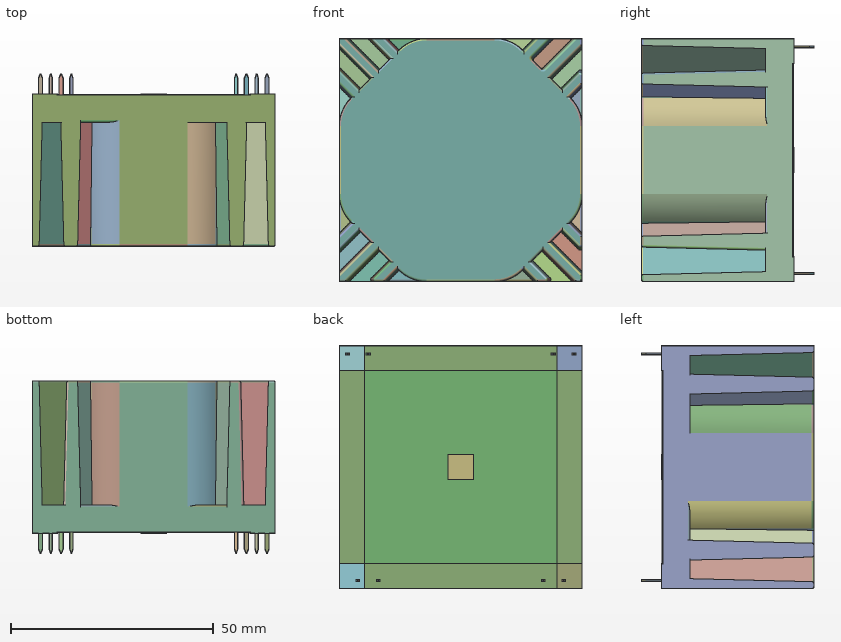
import cadquery as cq
import math

SIDE = 60.0
HALF = SIDE / 2
BACK_FACE = 37.3
FOOT_HEIGHT = 0.35
FOOT_SIDE = 6.2
BASE_START = 30.6
CORNER_ROUND = 9.7
EDGE_ROUND = 0.5
OCTAGON_SLOPE = math.tan(math.pi / 8)

RIB_FRONT_WIDTH = 2.4
RIB_DRAFT = 1.0
RIB_PITCH = 6.7
RIB_BACK_WIDTH = RIB_FRONT_WIDTH + 2 * BASE_START * math.tan(math.radians(RIB_DRAFT))
RIB_DIAGONALS = (45, 135, 225, 315)
RIB_PLACES = (-1, 0, 1)

POCKET_INNER_END = (HALF - CORNER_ROUND) * OCTAGON_SLOPE
POCKET_OUTER_END = HALF - (RIB_PITCH + RIB_BACK_WIDTH / 2) * math.sqrt(2)
ROUNDED_POCKET_ENDS = [(0, -1), (90, -1), (90, 1), (180, -1), (180, 1), (270, -1)]

PIN_TIP = 42.6
PIN_ROW = 27.95
PIN_OUTER = 27.95
PIN_INNER = 20.35
PINS_PER_SIDE = 4
PIN_THICKNESS = 0.5
WIDE_PIN = 1.1
NARROW_PIN = 0.85
PIN_TAPER = 1.1
PIN_TIP_WIDTH = 0.2

COVER_THICKNESS = 0.2

TOLERANCE = 0.005


def xz_plane(y):
    return cq.Workplane("XZ", origin=(0, y, 0))


def make_core():
    """Octagonal block with rounded corners, all eight sides equally far from the centre."""
    half_step = 180 / 8
    circumscribed = SIDE / math.cos(math.radians(half_step))
    core = xz_plane(0).transformed(rotate=(0, 0, half_step)).polygon(8, circumscribed).extrude(-BACK_FACE)
    return core.edges("|Y").fillet(CORNER_ROUND)


def make_rib(angle, offset):
    """Drafted rib running outwards along a diagonal."""
    front = RIB_FRONT_WIDTH / 2
    back = RIB_BACK_WIDTH / 2
    section = [
        (offset - front, 0),
        (offset + front, 0),
        (offset + back, BASE_START),
        (offset - back, BASE_START),
    ]
    rib = cq.Workplane("XY").polyline(section).close().extrude(SIDE)
    return rib.rotate((0, 0, 0), (0, 1, 0), angle)


def make_base():
    """Full square slab at the back with a square foot at each corner."""
    base = xz_plane(BASE_START).rect(SIDE, SIDE).extrude(BASE_START - BACK_FACE)
    foot_spacing = SIDE - FOOT_SIDE
    feet = (
        xz_plane(BACK_FACE)
        .rect(foot_spacing, foot_spacing, forConstruction=True)
        .vertices()
        .rect(FOOT_SIDE, FOOT_SIDE)
        .extrude(-FOOT_HEIGHT)
    )
    return base.union(feet)


def make_end_round(side_angle, direction):
    """Cutter that rounds the outer edge of a pocket end beside the block.

    It is made for the +Z side and turned about Y; direction is -1 or 1 along that side.
    """
    corner = (
        cq.Workplane("YZ")
        .moveTo(BASE_START, HALF)
        .lineTo(BASE_START, HALF - EDGE_ROUND)
        .radiusArc((BASE_START + EDGE_ROUND, HALF), EDGE_ROUND)
        .close()
        .extrude(direction * (POCKET_OUTER_END - POCKET_INNER_END))
        .translate((direction * POCKET_INNER_END, 0, 0))
    )
    return corner.rotate((0, 0, 0), (0, 1, 0), side_angle)


def is_rounded_front_edge(edge):
    """Every front edge except the rib ends on the -X and +Z sides."""
    c = edge.Center()
    on_plain_side = c.x < TOLERANCE - HALF or c.z > HALF - TOLERANCE
    on_rib_end = min(abs(c.x), abs(c.z)) > HALF * OCTAGON_SLOPE
    return abs(c.y) < TOLERANCE and not (on_plain_side and on_rib_end)


def is_acute_rib_edge(edge):
    """Sharp corner edge at the end of each outer rib on the +X and -Z sides."""
    c = edge.Center()
    on_rounded_side = c.x > HALF - TOLERANCE or c.z < TOLERANCE - HALF
    runs_along_rib = abs(c.y - BASE_START / 2) < EDGE_ROUND
    beside_outer_rib = RIB_PITCH / 2 < abs(abs(c.x) - abs(c.z)) / math.sqrt(2) < RIB_PITCH
    return on_rounded_side and runs_along_rib and beside_outer_rib


def is_rounded_pocket_corner(edge):
    """Inner corners of the upper pocket between the ribs at the +X +Z corner."""
    c = edge.Center()
    on_block = abs((c.x + c.z) / math.sqrt(2) - HALF) < TOLERANCE
    runs_along_rib = abs(c.y - BASE_START / 2) < EDGE_ROUND
    between_ribs = 0 < (c.z - c.x) / math.sqrt(2) < RIB_PITCH
    return on_block and runs_along_rib and between_ribs


def make_housing():
    """Base, octagonal block and corner ribs as one solid with its rounded edges."""
    square = xz_plane(0).rect(SIDE, SIDE).extrude(-BASE_START)
    body = make_base()
    for side_angle, direction in ROUNDED_POCKET_ENDS:
        body = body.cut(make_end_round(side_angle, direction))
    body = body.union(make_core())
    for angle in RIB_DIAGONALS:
        for place in RIB_PLACES:
            body = body.union(make_rib(angle, place * RIB_PITCH).intersect(square))
    solid = body.solids().val()
    for is_rounded in (is_acute_rib_edge, is_rounded_pocket_corner, is_rounded_front_edge):
        edges = [edge for edge in solid.Edges() if is_rounded(edge)]
        solid = solid.fillet(EDGE_ROUND, edges)
        solid = solid.Solids()[0]
    return solid


def make_pin(x, z, width):
    """Flat pin with a pointed end, standing on the foot or the back face below it."""
    on_foot = HALF - abs(x) < FOOT_SIDE
    start = BACK_FACE + FOOT_HEIGHT if on_foot else BACK_FACE
    shoulder = PIN_TIP - PIN_TAPER
    outline = [
        (x - width / 2, start),
        (x + width / 2, start),
        (x + width / 2, shoulder),
        (x + PIN_TIP_WIDTH / 2, PIN_TIP),
        (x - PIN_TIP_WIDTH / 2, PIN_TIP),
        (x - width / 2, shoulder),
    ]
    pin = cq.Workplane("XY", origin=(0, 0, z - PIN_THICKNESS / 2))
    return pin.polyline(outline).close().extrude(PIN_THICKNESS)


def make_pins():
    """Wide pins on the upper row alternate with narrow pins on the lower row."""
    pitch = (PIN_OUTER - PIN_INNER) / (PINS_PER_SIDE - 1)
    pins = []
    for side in (-1, 1):
        for i in range(PINS_PER_SIDE):
            x = side * (PIN_OUTER - i * pitch)
            if i % 2 == 0:
                pins.append(make_pin(x, PIN_ROW, WIDE_PIN))
            else:
                pins.append(make_pin(x, -PIN_ROW, NARROW_PIN))
    return pins


def make_cover():
    """Square plate reaching from foot to foot, with a square pad level with the feet."""
    cover_side = SIDE - 2 * FOOT_SIDE
    plate = xz_plane(BACK_FACE).rect(cover_side, cover_side).extrude(-COVER_THICKNESS)
    pad = xz_plane(BACK_FACE).rect(FOOT_SIDE, FOOT_SIDE).extrude(-FOOT_HEIGHT)
    return plate.union(pad)


housing = make_housing()
cover = make_cover()
pins = make_pins()
result = cq.Compound.makeCompound([housing, cover.val(), *[pin.val() for pin in pins]])